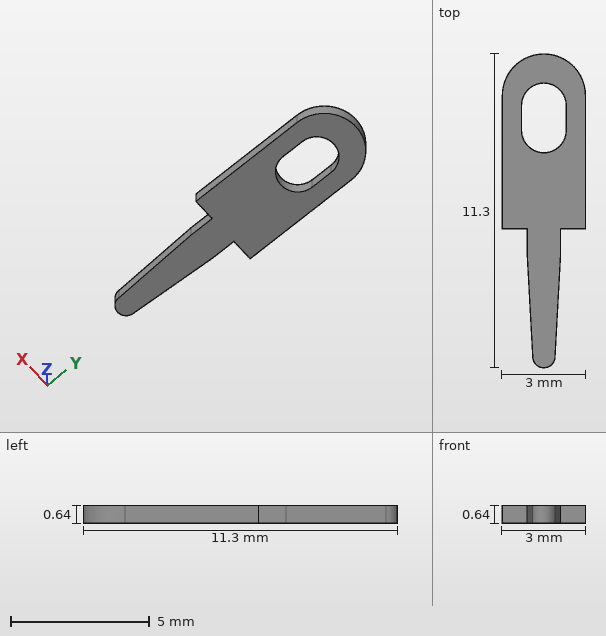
import cadquery as cq

thickness = 0.64

head_width = 3.0
head_length = 6.3
head_radius = head_width / 2

slot_width = 1.6
slot_length = 2.5
slot_crown_wall = 1.055

pin_width = 1.2
pin_length = 5.0
pin_straight_length = 1.0
tip_radius = 0.405

head_arc_y = head_length - head_radius
slot_center_y = head_length - slot_crown_wall - slot_length / 2
tip_arc_y = -pin_length + tip_radius


def make_head():
    """Plate with a square shoulder and a full-round end."""
    return (
        cq.Workplane("XY")
        .moveTo(-head_radius, 0)
        .lineTo(head_radius, 0)
        .lineTo(head_radius, head_arc_y)
        .threePointArc((0, head_length), (-head_radius, head_arc_y))
        .close()
        .extrude(thickness)
    )


def make_pin():
    """Pin that runs parallel, then tapers to a round tip."""
    half_width = pin_width / 2
    return (
        cq.Workplane("XY")
        .moveTo(half_width, 0)
        .lineTo(half_width, -pin_straight_length)
        .lineTo(tip_radius, tip_arc_y)
        .threePointArc((0, -pin_length), (-tip_radius, tip_arc_y))
        .lineTo(-half_width, -pin_straight_length)
        .lineTo(-half_width, 0)
        .close()
        .extrude(thickness)
    )


def make_slot():
    """Cutter for the round-ended slot, lengthwise along Y."""
    return (
        cq.Workplane("XY")
        .center(0, slot_center_y)
        .slot2D(slot_length, slot_width, 90)
        .extrude(thickness)
    )


result = make_head().union(make_pin()).cut(make_slot())